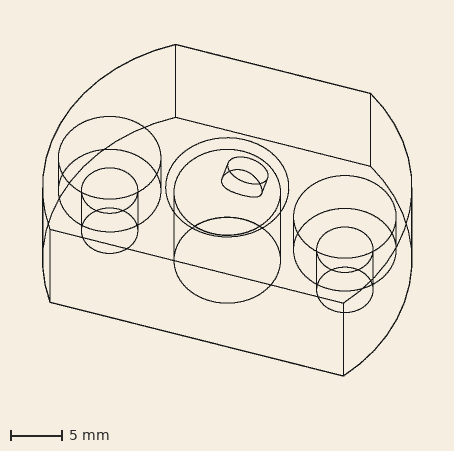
import cadquery as cq

body_diameter = 36.0
body_height = 12.0
front_flat_y = -10.0
back_flat_y = 15.0

bore_diameter = 10.38
bore_mouth_diameter = 12.0
bore_chamfer = (bore_mouth_diameter - bore_diameter) / 2

screw_offset = 12.0
screw_hole_diameter = 5.5
counterbore_diameter = 10.0
counterbore_depth = 5.4

side_pocket_diameter = 4.13
side_pocket_z = body_height / 2
side_pocket_end_y = 6.75


def make_body():
    disc = cq.Workplane("XY").circle(body_diameter / 2).extrude(body_height)
    slab = (
        cq.Workplane("XY")
        .center(0, (front_flat_y + back_flat_y) / 2)
        .rect(body_diameter, back_flat_y - front_flat_y)
        .extrude(body_height)
    )
    return disc.intersect(slab)


def make_bore():
    straight = cq.Workplane("XY").circle(bore_diameter / 2).extrude(body_height)
    mouth = cq.Solid.makeCone(
        bore_diameter / 2,
        bore_mouth_diameter / 2,
        bore_chamfer,
        pnt=cq.Vector(0, 0, body_height - bore_chamfer),
    )
    return straight.union(cq.Workplane(mouth))


def cut_screw_holes(part):
    return (
        part.faces(">Z")
        .workplane(origin=(0, 0, body_height))
        .pushPoints([(-screw_offset, 0), (screw_offset, 0)])
        .cboreHole(screw_hole_diameter, counterbore_diameter, counterbore_depth)
    )


def make_side_pocket():
    return (
        cq.Workplane("XZ", origin=(0, 0, side_pocket_z))
        .circle(side_pocket_diameter / 2)
        .extrude(-side_pocket_end_y)
    )


result = make_body()
result = result.cut(make_bore())
result = cut_screw_holes(result)
result = result.cut(make_side_pocket())